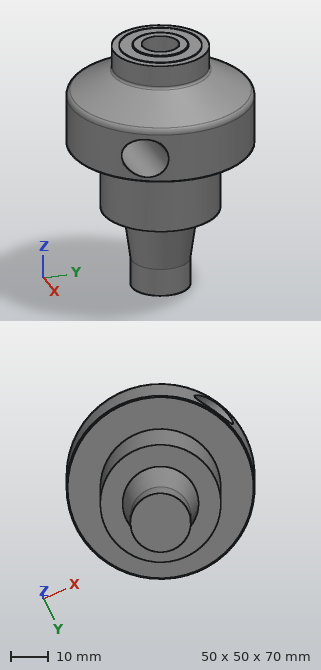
import cadquery as cq
import math

total_height = 70.0
tip_top = 7.85
shaft_bottom = 22.55
flange_bottom = 41.1
flange_side_top = 55.0
cone_bottom = 56.7
cone_top = 62.8
collar_bottom = 63.6
collar_top = 69.5
ring_top = 69.7

tip_radius = 16.0 / 2
stem_top_radius = 20.15 / 2
shaft_radius = 32.0 / 2
flange_radius = 50.0 / 2
cone_bottom_radius = 24.1
cone_top_radius = 13.4
collar_radius = 26.0 / 2
ring_radius = 22.0 / 2
lip_radius = 15.0 / 2
flange_chamfer = 0.35
lip_chamfer = 0.2

bore_diameter = 10.0
bore_depth = 20.0

port_diameter = 11.0
port_y = -12.0
port_z = 48.0
port_inner_x = 0.0


def arc_middle(start, end, tangent_angle):
    """Middle point of an arc that leaves start at tangent_angle (radians)."""
    dr = end[0] - start[0]
    dz = end[1] - start[1]
    chord_angle = math.atan2(dz, dr)
    half_turn = chord_angle - tangent_angle
    sagitta = math.hypot(dr, dz) / 2 * math.tan(half_turn / 2)
    return (
        (start[0] + end[0]) / 2 + sagitta * math.sin(chord_angle),
        (start[1] + end[1]) / 2 - sagitta * math.cos(chord_angle),
    )


def turned_body():
    """Revolved solid: stem, shaft, flange with conical shoulder, and collar."""
    shoulder_start = (flange_radius, flange_side_top)
    shoulder_end = (cone_bottom_radius, cone_bottom)
    neck_start = (cone_top_radius, cone_top)
    neck_end = (collar_radius, collar_bottom)
    vertical = math.pi / 2
    cone_angle = math.atan2(cone_top - cone_bottom, cone_top_radius - cone_bottom_radius)
    profile = (
        cq.Workplane("XZ")
        .lineTo(tip_radius, 0)
        .lineTo(tip_radius, tip_top)
        .lineTo(stem_top_radius, shaft_bottom)
        .lineTo(shaft_radius, shaft_bottom)
        .lineTo(shaft_radius, flange_bottom)
        .lineTo(flange_radius - flange_chamfer, flange_bottom)
        .lineTo(flange_radius, flange_bottom + flange_chamfer)
        .lineTo(*shoulder_start)
        .threePointArc(arc_middle(shoulder_start, shoulder_end, vertical), shoulder_end)
        .lineTo(*neck_start)
        .threePointArc(arc_middle(neck_start, neck_end, cone_angle), neck_end)
        .lineTo(collar_radius, collar_top)
        .lineTo(ring_radius, collar_top)
        .lineTo(ring_radius, ring_top)
        .lineTo(lip_radius, ring_top)
        .lineTo(lip_radius, total_height - lip_chamfer)
        .lineTo(lip_radius - lip_chamfer, total_height)
        .lineTo(0, total_height)
        .close()
    )
    return profile.revolve(360, (0, 0, 0), (0, 1, 0))


def top_bore():
    """Cutter for the blind bore on the axis."""
    return (
        cq.Workplane("XY", origin=(0, 0, total_height - bore_depth))
        .circle(bore_diameter / 2)
        .extrude(bore_depth)
    )


def side_port():
    """Cutter for the port that opens through the +X side of the flange."""
    return (
        cq.Workplane("YZ", origin=(port_inner_x, port_y, port_z))
        .circle(port_diameter / 2)
        .extrude(flange_radius - port_inner_x)
    )


result = turned_body().cut(top_bore()).cut(side_port())